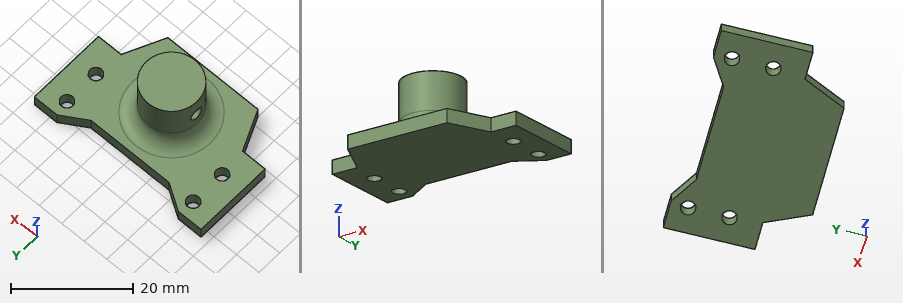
import cadquery as cq

plate_length = 37.0
plate_depth = 23.0
plate_thickness = 2.5
front_edge_length = 20.0
shoulder_span = 26.95
shoulder_height = 7.5
notch_length = 17.3
notch_depth = 3.0

total_height = 12.5
boss_diameter = 11.2
boss_to_front = 10.0
flare_radius = 3.0

hole_diameter = 2.5
mount_hole_spacing_x = 28.0
mount_hole_to_rear = 3.0
mount_hole_spacing_y = 7.0
cross_hole_height = 8.5

front_y = -boss_to_front
rear_y = front_y + plate_depth
boss_radius = boss_diameter / 2


def make_plate():
    """Eared plate, outlined on its +X half and mirrored across the YZ plane."""
    shoulder_y = front_y + shoulder_height
    right_side = [
        (front_edge_length / 2, front_y),
        (shoulder_span / 2, shoulder_y),
        (plate_length / 2, shoulder_y),
        (plate_length / 2, rear_y),
        (shoulder_span / 2, rear_y),
        (notch_length / 2, rear_y - notch_depth),
    ]
    left_side = [(-x, y) for x, y in reversed(right_side)]
    return cq.Workplane("XY").polyline(right_side + left_side).close().extrude(plate_thickness)


def make_boss():
    """Round boss with a concave flare at its foot, revolved about Z."""
    flare_top = plate_thickness + flare_radius
    return (
        cq.Workplane("XZ")
        .lineTo(boss_radius + flare_radius, 0)
        .lineTo(boss_radius + flare_radius, plate_thickness)
        .radiusArc((boss_radius, flare_top), flare_radius)
        .lineTo(boss_radius, total_height)
        .lineTo(0, total_height)
        .close()
        .revolve(360, (0, 0), (0, 1))
    )


def make_mount_holes():
    """Two through holes in each ear."""
    first_y = rear_y - mount_hole_to_rear
    centres = [
        (side * mount_hole_spacing_x / 2, y)
        for side in (-1, 1)
        for y in (first_y, first_y - mount_hole_spacing_y)
    ]
    return cq.Workplane("XY").pushPoints(centres).circle(hole_diameter / 2).extrude(plate_thickness)


def make_cross_hole():
    """Blind hole from the -X side of the boss to its axis."""
    return (
        cq.Workplane("YZ", origin=(-boss_radius, 0, 0))
        .center(0, cross_hole_height)
        .circle(hole_diameter / 2)
        .extrude(boss_radius)
    )


result = make_plate().union(make_boss()).cut(make_mount_holes()).cut(make_cross_hole())